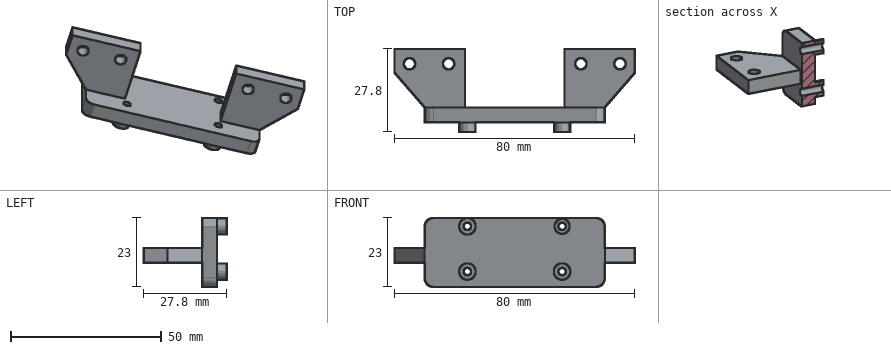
import cadquery as cq

overall_width = 80.0

plate_width = 60.0
plate_height = 23.0
plate_thickness = 5.0
plate_corner_radius = 3.0

arm_length = 19.5
arm_width = 23.5
arm_thickness = 5.0
arm_bottom = 8.0
arm_straight_side = 8.0
arm_hole_diameter = 3.7
arm_hole_edge_distance = 5.0
arm_hole_spacing = 13.0

standoff_length = 3.25
standoff_diameter = 5.5
small_standoff_diameter = 5.0
standoff_hole_diameter = 2.4
standoff_spacing_x = 31.5
standoff_spacing_z = 15.05
standoff_top_distance = 2.8

arm_outer_x = overall_width / 2
arm_inner_x = arm_outer_x - arm_width
plate_front_y = -plate_thickness
standoff_x = standoff_spacing_x / 2
upper_standoff_z = plate_height - standoff_top_distance
lower_standoff_z = upper_standoff_z - standoff_spacing_z

standoffs = [
    (-standoff_x, lower_standoff_z, standoff_diameter),
    (standoff_x, lower_standoff_z, standoff_diameter),
    (-standoff_x, upper_standoff_z, standoff_diameter),
    (standoff_x, upper_standoff_z, small_standoff_diameter),
]


def make_plate():
    """Upright plate with rounded corners, its back face on Y = 0."""
    return (
        cq.Workplane("XZ")
        .center(0, plate_height / 2)
        .rect(plate_width, plate_height)
        .extrude(plate_thickness)
        .edges("|Y")
        .fillet(plate_corner_radius)
    )


def make_arm():
    """Flat arm on the +X side, slanted out past the plate, with two holes."""
    hole_y = arm_length - arm_hole_edge_distance
    outer_hole_x = arm_outer_x - arm_hole_edge_distance
    inner_hole_x = outer_hole_x - arm_hole_spacing
    blank = (
        cq.Workplane("XY", origin=(0, 0, arm_bottom))
        .moveTo(arm_inner_x, 0)
        .lineTo(plate_width / 2, 0)
        .lineTo(arm_outer_x, arm_length - arm_straight_side)
        .lineTo(arm_outer_x, arm_length)
        .lineTo(arm_inner_x, arm_length)
        .close()
        .extrude(arm_thickness)
    )
    holes = (
        cq.Workplane("XY", origin=(0, 0, arm_bottom))
        .pushPoints([(inner_hole_x, hole_y), (outer_hole_x, hole_y)])
        .circle(arm_hole_diameter / 2)
        .extrude(arm_thickness)
    )
    return blank.cut(holes)


def make_standoff(x, z, diameter):
    """Round standoff reaching forward from the front face of the plate."""
    return (
        cq.Workplane("XZ", origin=(x, plate_front_y, z))
        .circle(diameter / 2)
        .extrude(standoff_length)
    )


def make_standoff_hole(x, z):
    """Through hole along a standoff and the plate behind it."""
    return (
        cq.Workplane("XZ", origin=(x, 0, z))
        .circle(standoff_hole_diameter / 2)
        .extrude(plate_thickness + standoff_length)
    )


arm = make_arm()
result = make_plate().union(arm).union(arm.mirror("YZ"))
for x, z, diameter in standoffs:
    result = result.union(make_standoff(x, z, diameter))
for x, z, diameter in standoffs:
    result = result.cut(make_standoff_hole(x, z))